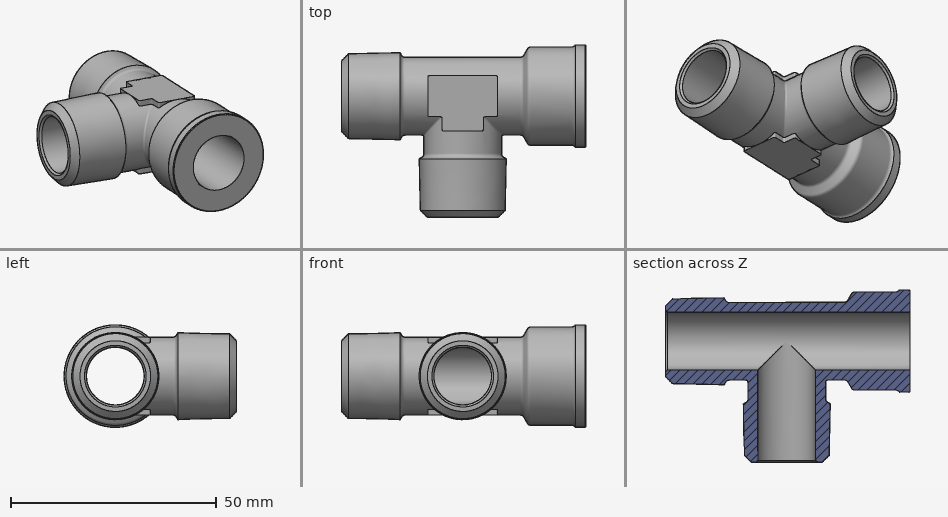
import cadquery as cq
import math


male_reach = 29.5
socket_reach = 30.0

bore_diameter = 14.0
bore_mouth_diameter = 15.0
body_diameter = 19.0
socket_diameter = 24.0
rim_diameter = 25.0
thread_root_diameter = 21.25
thread_front_diameter = 20.7
nose_diameter = 17.2

neck_reach = 14.0
neck_radius = 1.0
shoulder_angle = math.radians(60)
nose_length = 1.7

rim_length = 2.6
rim_radius = 1.0
rim_edge_chamfer = 0.2

pad_half_length = 8.5
pad_half_width = 5.0
pad_corner_radius = 0.4
crotch_radius = 0.4

body_radius = body_diameter / 2
socket_radius = socket_diameter / 2
rim_outer_radius = rim_diameter / 2
thread_root_radius = thread_root_diameter / 2
neck_arc_length = neck_radius * math.sin(shoulder_angle)
neck_arc_rise = neck_radius * (1 - math.cos(shoulder_angle))


def arc_points(radius, sweep):
    """Middle and end of an arc that leaves the axial direction and climbs, as (along, outward) offsets."""
    return [(radius * math.sin(a), radius * (1 - math.cos(a))) for a in (sweep / 2, sweep)]


def start_profile():
    """Half profile in XY from the crossing to the end of the shoulder's root fillet."""
    middle, end = arc_points(neck_radius, shoulder_angle)
    return (
        cq.Workplane("XY")
        .moveTo(0, 0)
        .lineTo(0, body_radius)
        .lineTo(neck_reach, body_radius)
        .threePointArc(
            (neck_reach + middle[0], body_radius + middle[1]),
            (neck_reach + end[0], body_radius + end[1]),
        )
    )


def shoulder_end(radius):
    """Position along the axis where the conical shoulder reaches the given radius."""
    cone_rise = radius - body_radius - neck_arc_rise
    return neck_reach + neck_arc_length + cone_rise / math.tan(shoulder_angle)


def spin(profile):
    """Revolve a closed half profile about the X axis."""
    return profile.close().revolve(360, (0, 0, 0), (1, 0, 0))


def male_end():
    """Body with a tapered thread blank, pointing to +X."""
    return spin(
        start_profile()
        .lineTo(shoulder_end(thread_root_radius), thread_root_radius)
        .lineTo(male_reach - nose_length, thread_front_diameter / 2)
        .lineTo(male_reach, nose_diameter / 2)
        .lineTo(male_reach, 0)
    )


def socket_end():
    """Body with the wider rimmed socket, pointing to +X."""
    corner_start = shoulder_end(socket_radius - neck_arc_rise)
    corner_end = corner_start + neck_arc_length
    middle = arc_points(neck_radius, shoulder_angle)[0]

    rim_start = socket_reach - rim_length
    rim_sweep = math.acos(1 - (rim_outer_radius - socket_radius) / rim_radius)
    rim_middle, rim_top = arc_points(rim_radius, rim_sweep)
    rim_arc_start = rim_start - rim_top[0]

    return spin(
        start_profile()
        .lineTo(corner_start, socket_radius - neck_arc_rise)
        .threePointArc((corner_end - middle[0], socket_radius - middle[1]), (corner_end, socket_radius))
        .lineTo(rim_arc_start, socket_radius)
        .threePointArc(
            (rim_arc_start + rim_middle[0], socket_radius + rim_middle[1]),
            (rim_start, rim_outer_radius),
        )
        .lineTo(socket_reach - rim_edge_chamfer, rim_outer_radius)
        .lineTo(socket_reach, rim_outer_radius - rim_edge_chamfer)
        .lineTo(socket_reach, 0)
    )


def pad_block():
    """T-shaped block as tall as the body, whose top and bottom form the two flat pads."""
    run_part = cq.Workplane("XY").box(2 * pad_half_length, 2 * pad_half_width, body_diameter)
    branch_part = (
        cq.Workplane("XY")
        .box(2 * pad_half_width, pad_half_length, body_diameter)
        .translate((0, -pad_half_length / 2, 0))
    )
    return run_part.union(branch_part).edges("|Z").fillet(pad_corner_radius)


def bore(reach):
    """Bore from the crossing along +X."""
    return cq.Workplane("YZ").circle(bore_diameter / 2).extrude(reach)


def mouth_chamfer():
    """45 degree lead-in at the mouth of a male end, pointing to +X."""
    depth = (bore_mouth_diameter - bore_diameter) / 2
    return spin(
        cq.Workplane("XY")
        .moveTo(male_reach - depth, 0)
        .lineTo(male_reach - depth, bore_diameter / 2)
        .lineTo(male_reach, bore_mouth_diameter / 2)
        .lineTo(male_reach, 0)
    )


def crotch_box(side):
    """Selector for the curved corner between the pads, on the -X or +X side of the branch."""
    near = pad_half_width + crotch_radius
    far = body_radius
    x_near, x_far = sorted((side * near, side * far))
    return cq.selectors.BoxSelector((x_near, -far, -body_radius), (x_far, -near, body_radius))


def turned(shape, angle):
    """Turn a shape about the Z axis."""
    return shape.rotate((0, 0, 0), (0, 0, 1), angle)


male_angles = (180, -90)

result = socket_end()
for angle in male_angles:
    result = result.union(turned(male_end(), angle))
result = result.union(pad_block())

for side in (-1, 1):
    result = result.edges(crotch_box(side)).fillet(crotch_radius)

result = result.cut(bore(socket_reach))
for angle in male_angles:
    result = result.cut(turned(bore(male_reach).union(mouth_chamfer()), angle))